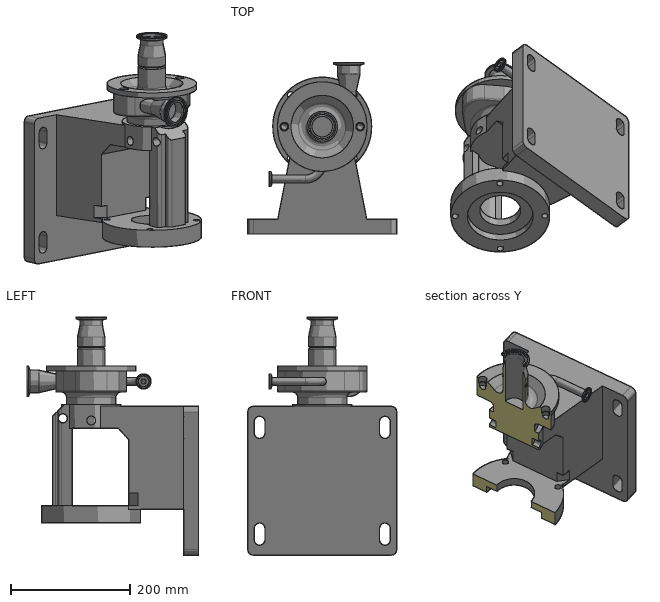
import cadquery as cq
import math


plate_size = 250.0
plate_thickness = 25.0
plate_front_y = -180.2
plate_back_y = plate_front_y + plate_thickness
plate_corner_radius = 10.0
slot_width = 17.5
slot_length = 36.8
slot_offset_x = 105.0
slot_edge_distance = 35.5

disc_radius = 83.0
disc_bottom_z = 54.5
disc_top_z = 83.5
disc_bore_radius = 34.5
disc_spigot_radius = 55.0
disc_spigot_depth = 13.5
disc_bolt_circle_radius = 75.0
disc_bolt_hole_diameter = 10.5

hub_radius = 50.0
hub_core_radius = 37.0
hub_bottom_z = 213.0
hub_top_z = 253.5
side_hole_diameter = 14.8
hub_hole_z = 226.0

arm_hub_half_width = 47.0
arm_hub_y = -14.0
arm_plate_half_width = 74.7
arm_inner_y = -62.7
arm_bottom_z = 77.0
arm_chamfer_y = 17.5
arm_chamfer_z = 18.8
bolt_relief_y = -78.5
bolt_relief_height = 21.0

column_half_width = 34.5
column_inner_y = 31.5
column_step_y = 55.5
column_outer_y = 65.0
column_rib_half_width = 20.0
column_edge_radius = 5.5
column_chamfer_y = 44.8
column_hole_y = 47.5
column_hole_z = 229.8

casing_radius = 59.5
casing_bottom_z = 273.7
casing_edge_radius = 2.5
ear_radius = 33.5
ear_offset = 41.5
neck_radius = 41.5
neck_fillet_radius = 8.8
cover_radius = 75.0
cover_bottom_z = 309.0
cover_top_z = 317.5
port_z = 291.7

dish_top_radius = 52.5
dish_floor_radius = 39.5
dish_floor_z = 306.5
dish_rise = 7.5

screw_offset = 63.5
screw_hole_radius = 7.0
screw_core_radius = 5.5
screw_hole_depth = 12.0
screw_core_depth = 20.0
screw_tip_depth = 23.0

ferrule_rim_thickness = 2.8
ferrule_height = 5.0
pipe_rim_radius = 25.5
pipe_radius = 19.0
pipe_bore_radius = 17.0
pipe_groove_radius = 21.5
drain_rim_radius = 12.8
drain_radius = 6.8
drain_bore_radius = 4.5
drain_groove_radius = 10.0
gasket_groove_radius = 1.0

suction_top_z = 399.5
suction_tube_radius = 23.0
suction_cone_top_z = 385.5
suction_cone_bottom_z = 366.0
suction_groove_z = 348.5
suction_groove_depth = 2.0

discharge_x = 44.5
discharge_end_y = 108.0
discharge_cone_y = 88.0
discharge_throat_radius = 12.5
discharge_throat_y = 58.0
discharge_root_y = 32.0

drain_end_x = -89.0
drain_bend_radius = 28.0
drain_y = -88.0
drain_overlap = 4.0


def cylinder(radius, bottom_z, top_z):
    return cq.Workplane("XY", origin=(0, 0, bottom_z)).circle(radius).extrude(top_z - bottom_z)


def ferrule(rim_radius, stem_radius, groove_radius):
    """Clamp ferrule whose flat face lies at z = 0 and whose neck points to -Z."""
    body = (
        cq.Workplane("XZ")
        .polyline([
            (0, 0),
            (rim_radius, 0),
            (rim_radius, -ferrule_rim_thickness),
            (stem_radius, -ferrule_height),
            (0, -ferrule_height),
        ])
        .close()
        .revolve(360, (0, 0), (0, 1))
    )
    groove = cq.Workplane(cq.Solid.makeTorus(groove_radius, gasket_groove_radius))
    return body.cut(groove)


def place(part, origin, direction, x_direction):
    plane = cq.Plane(origin=origin, xDir=x_direction, normal=direction)
    return cq.Workplane(part.val().moved(cq.Location(plane)))


def mounting_plate():
    slots = [(x, z) for x in (-slot_offset_x, slot_offset_x)
             for z in (slot_edge_distance, plate_size - slot_edge_distance)]
    return (
        cq.Workplane("XZ", origin=(0, plate_back_y, 0))
        .center(0, plate_size / 2)
        .rect(plate_size, plate_size)
        .extrude(plate_thickness)
        .edges("|Y")
        .fillet(plate_corner_radius)
        .cut(
            cq.Workplane("XZ", origin=(0, plate_back_y, 0))
            .pushPoints(slots)
            .slot2D(slot_length, slot_width, 90)
            .extrude(plate_thickness)
        )
    )


def bracket_arm():
    side = (
        cq.Workplane("YZ", origin=(-arm_plate_half_width, 0, 0))
        .polyline([
            (0, plate_size),
            (plate_back_y, plate_size),
            (plate_back_y, arm_bottom_z),
            (arm_inner_y, arm_bottom_z),
            (arm_inner_y, hub_bottom_z - arm_chamfer_z),
            (arm_inner_y + arm_chamfer_y, hub_bottom_z),
            (0, hub_bottom_z),
        ])
        .close()
        .extrude(2 * arm_plate_half_width)
    )
    plan = (
        cq.Workplane("XY")
        .polyline([
            (-arm_plate_half_width, plate_back_y),
            (arm_plate_half_width, plate_back_y),
            (arm_hub_half_width, arm_hub_y),
            (-arm_hub_half_width, arm_hub_y),
        ])
        .close()
        .extrude(plate_size)
    )
    arm = side.intersect(plan)
    flank_slope = (arm_plate_half_width - arm_hub_half_width) / (arm_hub_y - plate_back_y)
    relief_x = arm_hub_half_width + flank_slope * (arm_hub_y - bolt_relief_y)
    relief_leg = 2 * (arm_inner_y - bolt_relief_y)
    for sign in (-1, 1):
        relief = (
            cq.Workplane("XY", origin=(0, 0, disc_top_z))
            .polyline([
                (sign * relief_x, bolt_relief_y),
                (sign * relief_x, bolt_relief_y + relief_leg),
                (sign * (relief_x - relief_leg), bolt_relief_y + relief_leg),
            ])
            .close()
            .extrude(bolt_relief_height)
        )
        arm = arm.cut(relief)
    return arm


def motor_disc():
    disc = cylinder(disc_radius, disc_bottom_z, disc_top_z)
    disc = disc.cut(cylinder(disc_bore_radius, disc_bottom_z, disc_top_z))
    disc = disc.cut(cylinder(disc_spigot_radius, disc_bottom_z, disc_bottom_z + disc_spigot_depth))
    bolt_holes = (
        cq.Workplane("XY", origin=(0, 0, disc_bottom_z))
        .polarArray(disc_bolt_circle_radius, 45, 360, 4)
        .circle(disc_bolt_hole_diameter / 2)
        .extrude(disc_top_z - disc_bottom_z)
    )
    return disc.cut(bolt_holes)


def column_bar(half_width, inner_y, outer_y):
    return (
        cq.Workplane("XY", origin=(0, 0, disc_top_z))
        .center(0, (inner_y + outer_y) / 2)
        .rect(2 * half_width, outer_y - inner_y)
        .extrude(hub_top_z - disc_top_z)
        .edges("|Z and >Y")
        .fillet(column_edge_radius)
    )


def column():
    bar = column_bar(column_half_width, column_inner_y, column_step_y)
    rib = column_bar(column_rib_half_width, column_inner_y, column_outer_y)
    chamfer_leg = column_outer_y - column_chamfer_y
    top_chamfer = (
        cq.Workplane("YZ", origin=(-column_half_width, 0, 0))
        .polyline([
            (column_chamfer_y, hub_top_z),
            (column_outer_y, hub_top_z),
            (column_outer_y, hub_top_z - chamfer_leg),
        ])
        .close()
        .extrude(2 * column_half_width)
    )
    return bar.union(rib).cut(top_chamfer).cut(cylinder(hub_core_radius, disc_top_z, hub_bottom_z))


def side_holes():
    """Cross hole through the column and the two radial holes that end on the hub core."""
    across = cq.Workplane("YZ", origin=(-hub_radius, 0, 0))
    column_hole = (
        across.center(column_hole_y, column_hole_z).circle(side_hole_diameter / 2).extrude(2 * hub_radius)
    )
    hub_holes = (
        across.center(0, hub_hole_z)
        .circle(side_hole_diameter / 2)
        .extrude(2 * hub_radius)
        .cut(cylinder(hub_core_radius, hub_bottom_z, hub_top_z))
    )
    return column_hole, hub_holes


def pump_casing():
    tangent_angle = math.acos((casing_radius - ear_radius) / ear_offset)
    ear_x = ear_offset + ear_radius * math.cos(tangent_angle)
    ear_y = ear_radius * math.sin(tangent_angle)
    body_x = casing_radius * math.cos(tangent_angle)
    body_y = casing_radius * math.sin(tangent_angle)
    ear_tip_x = ear_offset + ear_radius
    casing = (
        cq.Workplane("XY", origin=(0, 0, casing_bottom_z))
        .moveTo(ear_x, -ear_y)
        .threePointArc((ear_tip_x, 0), (ear_x, ear_y))
        .lineTo(body_x, body_y)
        .threePointArc((0, casing_radius), (-body_x, body_y))
        .lineTo(-ear_x, ear_y)
        .threePointArc((-ear_tip_x, 0), (-ear_x, -ear_y))
        .lineTo(-body_x, -body_y)
        .threePointArc((0, -casing_radius), (body_x, -body_y))
        .close()
        .extrude(cover_bottom_z - casing_bottom_z)
        .faces("<Z")
        .edges()
        .fillet(casing_edge_radius)
    )
    neck = (
        cq.Workplane("XZ")
        .moveTo(0, hub_top_z)
        .lineTo(neck_radius, hub_top_z)
        .lineTo(neck_radius, casing_bottom_z - neck_fillet_radius)
        .radiusArc((neck_radius + neck_fillet_radius, casing_bottom_z), neck_fillet_radius)
        .lineTo(0, casing_bottom_z)
        .close()
        .revolve(360, (0, 0), (0, 1))
    )
    return casing.union(neck).union(cylinder(cover_radius, cover_bottom_z, cover_top_z))


def cover_dish():
    return (
        cq.Workplane("XZ")
        .moveTo(suction_tube_radius, cover_top_z)
        .lineTo(dish_top_radius, cover_top_z)
        .lineTo(dish_floor_radius, dish_floor_z)
        .tangentArcPoint((suction_tube_radius, dish_floor_z + dish_rise), relative=False)
        .close()
        .revolve(360, (0, 0), (0, 1))
    )


def screw_hole(x):
    return (
        cq.Workplane("XZ")
        .polyline([
            (0, 0),
            (screw_hole_radius, 0),
            (screw_hole_radius, -screw_hole_depth),
            (screw_core_radius, -screw_hole_depth),
            (screw_core_radius, -screw_core_depth),
            (0, -screw_tip_depth),
        ])
        .close()
        .revolve(360, (0, 0), (0, 1))
        .translate((x, 0, cover_top_z))
    )


def suction_tube():
    tube = (
        cq.Workplane("XZ")
        .polyline([
            (0, port_z),
            (suction_tube_radius, port_z),
            (suction_tube_radius, suction_groove_z - suction_groove_depth),
            (suction_tube_radius - suction_groove_depth, suction_groove_z),
            (suction_tube_radius, suction_groove_z + suction_groove_depth),
            (suction_tube_radius, suction_cone_bottom_z),
            (pipe_radius, suction_cone_top_z),
            (pipe_radius, suction_top_z - ferrule_height),
            (0, suction_top_z - ferrule_height),
        ])
        .close()
        .revolve(360, (0, 0), (0, 1))
    )
    end = ferrule(pipe_rim_radius, pipe_radius, pipe_groove_radius)
    return tube.union(end.translate((0, 0, suction_top_z)))


def discharge_nozzle():
    """Nozzle along +Y, blind bored down to its cone."""
    throat_depth = discharge_end_y - discharge_throat_y
    cone_depth = discharge_end_y - discharge_cone_y
    nozzle = (
        cq.Workplane("XZ")
        .polyline([
            (0, -ferrule_height),
            (pipe_radius, -ferrule_height),
            (pipe_radius, -cone_depth),
            (discharge_throat_radius, -throat_depth),
            (discharge_throat_radius, discharge_root_y - discharge_end_y),
            (0, discharge_root_y - discharge_end_y),
        ])
        .close()
        .revolve(360, (0, 0), (0, 1))
        .union(ferrule(pipe_rim_radius, pipe_radius, pipe_groove_radius))
        .cut(cylinder(pipe_bore_radius, -cone_depth, 0))
    )
    return place(nozzle, (discharge_x, discharge_end_y, port_z), (0, 1, 0), (1, 0, 0))


def drain_path():
    bend_start_x = -drain_bend_radius
    bend_centre_y = drain_y + drain_bend_radius
    bend_reach = drain_bend_radius * math.sqrt(0.5)
    return (
        cq.Workplane("XY", origin=(0, 0, port_z))
        .moveTo(drain_end_x, drain_y)
        .lineTo(bend_start_x, drain_y)
        .threePointArc((bend_start_x + bend_reach, bend_centre_y - bend_reach), (0, bend_centre_y))
        .lineTo(0, drain_overlap - casing_radius)
    )


def drain_tube(radius):
    return (
        cq.Workplane("YZ", origin=(drain_end_x, drain_y, port_z)).circle(radius).sweep(drain_path())
    )


def drain_pipe():
    end = ferrule(drain_rim_radius, drain_radius, drain_groove_radius)
    end = place(end, (drain_end_x, drain_y, port_z), (-1, 0, 0), (0, 1, 0))
    return drain_tube(drain_radius).union(end).cut(drain_tube(drain_bore_radius))


result = mounting_plate().union(bracket_arm()).union(motor_disc()).union(column())
result = result.union(cylinder(hub_radius, hub_bottom_z, hub_top_z))
for hole in side_holes():
    result = result.cut(hole)

result = result.union(pump_casing()).cut(cover_dish()).union(discharge_nozzle())
for screw_x in (-screw_offset, screw_offset):
    result = result.cut(screw_hole(screw_x))
result = result.union(suction_tube()).cut(cylinder(pipe_bore_radius, port_z, suction_top_z))
result = result.union(drain_pipe())